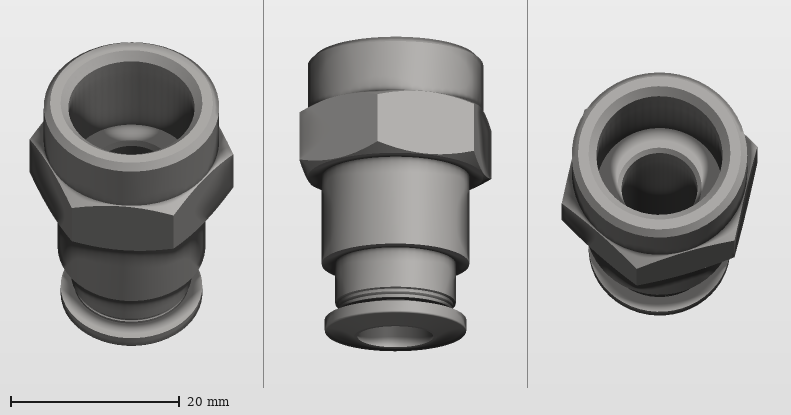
import cadquery as cq
import math

total_height = 34.2
collar_top = 2.05
retainer_bottom = 2.95
barb_ledge = 3.3
barb_cone_bottom = 3.4
barb_cone_top = 3.63
sleeve_cone_bottom = 3.97
sleeve_bottom = 4.1
body_bottom = 8.95
hex_bottom = 19.65
hex_top = 27.45

collar_diameter = 16.8
neck_diameter = 11.4
retainer_diameter = 13.7
sleeve_diameter = 14.3
body_diameter = 17.5
head_diameter = 20.8

collar_edge_radius = 0.2
collar_cone_angle = math.radians(10)
collar_cone_rim = 0.58
neck_fillet = 0.35
head_chamfer = 0.75

hex_across_flats = 21.0
hex_across_corners = hex_across_flats / math.cos(math.radians(30))
hex_cone_angle = math.radians(30)

passage_diameter = 9.0
passage_mouth_diameter = 10.0
socket_diameter = 14.95
socket_mouth_diameter = 16.8
socket_depth = 12.0


def make_collar():
    """Release collar with a shallow cone underneath and a rounded rim."""
    outer = collar_diameter / 2
    bend = math.pi / 2 - collar_cone_angle
    arc_center_r = outer - collar_edge_radius
    arc_center_z = collar_cone_rim + collar_edge_radius * math.cos(collar_cone_angle)

    def on_arc(angle):
        return (
            arc_center_r + collar_edge_radius * math.cos(angle),
            arc_center_z - collar_edge_radius * math.sin(angle),
        )

    cone_rim_r = on_arc(bend)[0]
    face_r = cone_rim_r - collar_cone_rim / math.tan(collar_cone_angle)
    return (
        cq.Workplane("XZ")
        .moveTo(0, 0)
        .lineTo(face_r, 0)
        .lineTo(*on_arc(bend))
        .threePointArc(on_arc(bend / 2), on_arc(0))
        .lineTo(outer, collar_top)
        .lineTo(0, collar_top)
        .close()
        .revolve(360, (0, 0, 0), (0, 1, 0))
    )


def make_stem():
    """Neck, barbed retainer, sleeve, body and threaded head in one turned profile."""
    neck_r = neck_diameter / 2
    retainer_r = retainer_diameter / 2
    groove_r = retainer_r - (barb_cone_top - barb_cone_bottom)
    sleeve_r = sleeve_diameter / 2
    body_r = body_diameter / 2
    head_r = head_diameter / 2
    fillet_sag = neck_fillet * (1 - math.sin(math.radians(45)))
    return (
        cq.Workplane("XZ")
        .moveTo(0, collar_top)
        .lineTo(neck_r + neck_fillet, collar_top)
        .threePointArc(
            (neck_r + fillet_sag, collar_top + fillet_sag),
            (neck_r, collar_top + neck_fillet),
        )
        .lineTo(neck_r, retainer_bottom)
        .lineTo(retainer_r, retainer_bottom)
        .lineTo(retainer_r, barb_ledge)
        .lineTo(groove_r, barb_ledge)
        .lineTo(groove_r, barb_cone_bottom)
        .lineTo(retainer_r, barb_cone_top)
        .lineTo(retainer_r, sleeve_cone_bottom)
        .lineTo(sleeve_r, sleeve_bottom)
        .lineTo(sleeve_r, body_bottom)
        .lineTo(body_r, body_bottom)
        .lineTo(body_r, hex_bottom)
        .lineTo(head_r, hex_bottom)
        .lineTo(head_r, total_height - head_chamfer)
        .lineTo(head_r - head_chamfer, total_height)
        .lineTo(0, total_height)
        .close()
        .revolve(360, (0, 0, 0), (0, 1, 0))
    )


def make_hexagon():
    """Wrench hexagon, corners along X, trimmed by a cone at each end."""
    end_r = head_diameter / 2
    corner_r = hex_across_corners / 2
    cone_height = (corner_r - end_r) * math.tan(hex_cone_angle)
    prism = (
        cq.Workplane("XY")
        .workplane(offset=hex_bottom)
        .polygon(6, hex_across_corners)
        .extrude(hex_top - hex_bottom)
    )
    envelope = (
        cq.Workplane("XZ")
        .moveTo(0, hex_bottom)
        .lineTo(end_r, hex_bottom)
        .lineTo(corner_r, hex_bottom + cone_height)
        .lineTo(corner_r, hex_top - cone_height)
        .lineTo(end_r, hex_top)
        .lineTo(0, hex_top)
        .close()
        .revolve(360, (0, 0, 0), (0, 1, 0))
    )
    return prism.intersect(envelope)


def make_bore():
    """Through passage opening into the wide socket, both mouths chamfered at 45 degrees."""
    passage_r = passage_diameter / 2
    passage_mouth_r = passage_mouth_diameter / 2
    socket_r = socket_diameter / 2
    socket_mouth_r = socket_mouth_diameter / 2
    socket_floor = total_height - socket_depth
    return (
        cq.Workplane("XZ")
        .moveTo(0, 0)
        .lineTo(passage_r, 0)
        .lineTo(passage_r, socket_floor - (passage_mouth_r - passage_r))
        .lineTo(passage_mouth_r, socket_floor)
        .lineTo(socket_r, socket_floor)
        .lineTo(socket_r, total_height - (socket_mouth_r - socket_r))
        .lineTo(socket_mouth_r, total_height)
        .lineTo(0, total_height)
        .close()
        .revolve(360, (0, 0, 0), (0, 1, 0))
    )


result = make_stem().union(make_collar()).union(make_hexagon()).cut(make_bore())